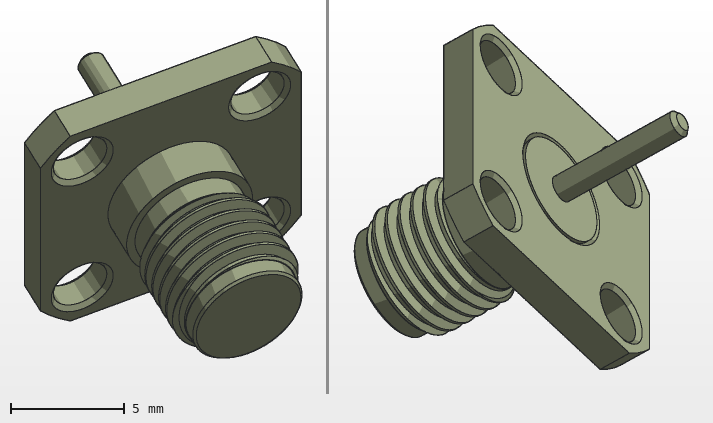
import cadquery as cq
import math

FLANGE_START = 6.72
FLANGE_END = 8.35
COLLAR_END = 10.24
THREAD_START = 11.23
THREAD_END = 15.43
TOTAL_LENGTH = 16.23

FLANGE_SIDE = 12.7
CORNER_FLAT = 9.8
HOLE_OFFSET = 4.32
HOLE_RADIUS = 1.3
HOLE_CHAMFER = 0.21

PIN_RADIUS = 0.63
PIN_CHAMFER = 0.21
DISC_RADIUS = 2.56
BORE_CHAMFER = 0.2

COLLAR_RADIUS = 3.07
BARREL_RADIUS = 2.66
BARREL_CHAMFER = 0.11

THREAD_RADIUS = 3.12
THREAD_CORE_RADIUS = 2.7
FIVE_TURNS = 3.52
THREAD_PITCH = FIVE_TURNS / 5
RIDGE_BASE = 0.52
RIDGE_CREST = 0.13
RIDGE_SINK = 0.05
TOP_CREST_X = 12.08


def cylinder(start, end, radius):
    """Solid cylinder on the X axis."""
    return cq.Workplane("YZ", origin=(start, 0, 0)).circle(radius).extrude(end - start)


def make_flange():
    thickness = FLANGE_END - FLANGE_START
    corner_radius = math.hypot(FLANGE_SIDE / 2, CORNER_FLAT / 2)
    base = cq.Workplane("YZ", origin=(FLANGE_START, 0, 0))
    square = base.rect(FLANGE_SIDE, FLANGE_SIDE).extrude(thickness)
    flange = square.intersect(cylinder(FLANGE_START, FLANGE_END, corner_radius))
    holes = (
        base.rect(2 * HOLE_OFFSET, 2 * HOLE_OFFSET, forConstruction=True)
        .vertices()
        .circle(HOLE_RADIUS)
        .extrude(thickness)
    )
    flange = flange.cut(holes)
    hole_rims = flange.faces("<X or >X").edges("%CIRCLE").edges(cq.selectors.RadiusNthSelector(0))
    return hole_rims.chamfer(HOLE_CHAMFER)


def make_bore_chamfer():
    """Conical ring cut between the flange face and the dielectric disc."""
    profile = [
        (FLANGE_START, DISC_RADIUS),
        (FLANGE_START, DISC_RADIUS + BORE_CHAMFER),
        (FLANGE_START + BORE_CHAMFER, DISC_RADIUS),
    ]
    return cq.Workplane("XY").polyline(profile).close().revolve(360, (0, 0, 0), (1, 0, 0))


def make_thread():
    """Helical ridge, its ends trimmed by 45 degree cones."""
    root = THREAD_CORE_RADIUS - RIDGE_SINK
    ridge_start = TOP_CREST_X - 2 * THREAD_PITCH
    ridge_end = THREAD_END + THREAD_PITCH
    slope = (RIDGE_BASE - RIDGE_CREST) / (THREAD_RADIUS - THREAD_CORE_RADIUS)
    root_half = (RIDGE_BASE + slope * RIDGE_SINK) / 2
    crest_half = RIDGE_CREST / 2
    profile = [
        (root, -root_half),
        (THREAD_RADIUS, -crest_half),
        (THREAD_RADIUS, crest_half),
        (root, root_half),
    ]
    path = cq.Wire.makeHelix(THREAD_PITCH, ridge_end - ridge_start, root)
    ridge = cq.Workplane("XZ").polyline(profile).close().sweep(cq.Workplane(obj=path), isFrenet=True)
    ridge = ridge.rotate((0, 0, 0), (0, 1, 0), 90).rotate((0, 0, 0), (1, 0, 0), 180)
    ridge = ridge.translate((ridge_start, 0, 0))
    middle = (THREAD_START + THREAD_END) / 2
    middle_radius = THREAD_CORE_RADIUS + middle - THREAD_START
    outline = [
        (THREAD_START, 0),
        (THREAD_START, THREAD_CORE_RADIUS),
        (middle, middle_radius),
        (THREAD_END, THREAD_CORE_RADIUS),
        (THREAD_END, 0),
    ]
    blank = cq.Workplane("XY").polyline(outline).close().revolve(360, (0, 0, 0), (1, 0, 0))
    return ridge.intersect(blank)


pin = cylinder(0, FLANGE_END, PIN_RADIUS).faces("<X").chamfer(PIN_CHAMFER)
collar = cylinder(FLANGE_START, COLLAR_END, COLLAR_RADIUS)
core = cylinder(THREAD_START, THREAD_END, THREAD_CORE_RADIUS)
barrel = cylinder(FLANGE_START, TOTAL_LENGTH, BARREL_RADIUS).faces(">X").chamfer(BARREL_CHAMFER)

body = make_flange().union(collar).union(barrel).union(core)
result = body.cut(make_bore_chamfer()).union(pin).union(make_thread())